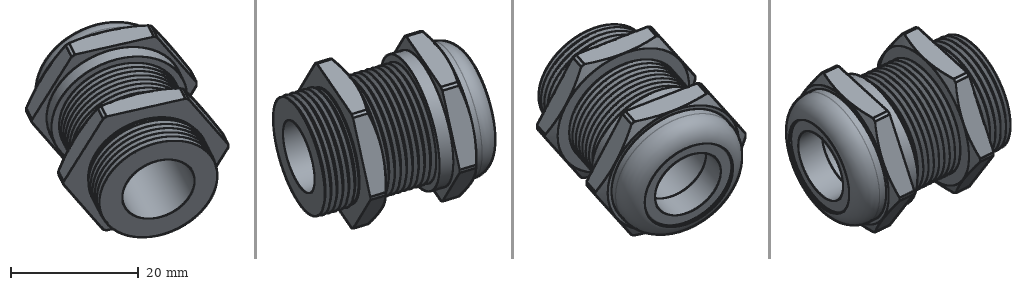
import cadquery as cq
import math


TOTAL_LENGTH = 29.97
DOME_LENGTH = 3.57
DOME_HEX_START = 4.83
DOME_HEX_WIDTH = 3.7
COLLAR_END = 10.88
MIDDLE_HEX_START = 20.35
MIDDLE_HEX_WIDTH = 3.55
MIDDLE_HEX_END = MIDDLE_HEX_START + MIDDLE_HEX_WIDTH

ACROSS_FLATS = 23.9
CORNER_RADIUS = 13.6
HEX_FACE_RADIUS = 11.9
DOME_HEX_CHAMFER = 0.85
MIDDLE_HEX_CHAMFER = 0.93

COLLAR_RADIUS = 11.2
MOUTH_RADIUS = 8.0
BORE_RADIUS = 5.95

SEAL_START = 0.3
SEAL_END = 4.9
SEAL_EDGE_ROUND = 0.25

LAST_MIDDLE_CREST = 20.1
PITCHES_TO_LAST_CREST = 9
THREAD_PITCH = (LAST_MIDDLE_CREST - COLLAR_END) / PITCHES_TO_LAST_CREST
MIDDLE_CREST_RADIUS = 9.95
END_CREST_RADIUS = 9.85
ROOT_RADIUS = 9.1

RELIEF_RADIUS = 9.55
RELIEF_LENGTH = 0.18


def revolved(profile):
    """Spin a closed profile, drawn as (x, radius), about the X axis."""
    return profile.close().revolve(360, (0, 0, 0), (1, 0, 0))


def cylinder(start, end, radius):
    """Solid cylinder about the X axis."""
    return cq.Workplane("YZ", origin=(start, 0, 0)).circle(radius).extrude(end - start)


def make_hex(start, width, chamfer_length):
    """Hexagon with flats facing +Z and -Z, chamfered on its -X side."""
    across_corners = ACROSS_FLATS / math.cos(math.pi / 6)
    prism = cq.Workplane("YZ", origin=(start, 0, 0)).polygon(6, across_corners).extrude(width)
    turned = revolved(
        cq.Workplane("XY")
        .moveTo(start, 0)
        .lineTo(start, HEX_FACE_RADIUS)
        .lineTo(start + chamfer_length, CORNER_RADIUS)
        .lineTo(start + width, CORNER_RADIUS)
        .lineTo(start + width, 0)
    )
    return prism.intersect(turned)


def make_thread(start, end, crest_radius):
    """Cylinder with V grooves one pitch apart, the last one cut short where the cylinder ends."""
    thread = cylinder(start, end, crest_radius)
    for ring in range(math.ceil((end - start) / THREAD_PITCH)):
        crest = start + ring * THREAD_PITCH
        groove = revolved(
            cq.Workplane("XY")
            .moveTo(crest, crest_radius)
            .lineTo(crest + THREAD_PITCH / 2, ROOT_RADIUS)
            .lineTo(crest + THREAD_PITCH, crest_radius)
            .lineTo(crest + THREAD_PITCH, CORNER_RADIUS)
            .lineTo(crest, CORNER_RADIUS)
        )
        thread = thread.cut(groove)
    return thread


def make_domed_collar():
    """Collar whose dome curves tangentially from the outside down to the rim of the mouth."""
    return revolved(
        cq.Workplane("XY")
        .moveTo(COLLAR_END, 0)
        .lineTo(COLLAR_END, COLLAR_RADIUS)
        .lineTo(DOME_LENGTH, COLLAR_RADIUS)
        .tangentArcPoint((0, MOUTH_RADIUS), relative=False)
        .lineTo(0, 0)
    )


def make_end_thread():
    """Thread at the plain end, turned down over a short relief beside the hexagon."""
    relief_end = MIDDLE_HEX_END + RELIEF_LENGTH
    relief_ring = cylinder(MIDDLE_HEX_END, relief_end, END_CREST_RADIUS).cut(
        cylinder(MIDDLE_HEX_END, relief_end, RELIEF_RADIUS)
    )
    return make_thread(MIDDLE_HEX_END, TOTAL_LENGTH, END_CREST_RADIUS).cut(relief_ring)


def make_housing():
    """Domed collar, two hexagons and two threads in one piece, with the bore and seal seat cut out."""
    outside = (
        make_domed_collar()
        .union(make_hex(DOME_HEX_START, DOME_HEX_WIDTH, DOME_HEX_CHAMFER))
        .union(make_thread(COLLAR_END, MIDDLE_HEX_START, MIDDLE_CREST_RADIUS))
        .union(make_hex(MIDDLE_HEX_START, MIDDLE_HEX_WIDTH, MIDDLE_HEX_CHAMFER))
        .union(make_end_thread())
    )
    seal_seat = cylinder(0, SEAL_END, MOUTH_RADIUS)
    bore = cylinder(0, TOTAL_LENGTH, BORE_RADIUS)
    return outside.cut(seal_seat).cut(bore)


def make_seal():
    """Ring that fills the seat, with its outer front edge rounded."""
    ring = cylinder(SEAL_START, SEAL_END, MOUTH_RADIUS).faces("<X").edges().fillet(SEAL_EDGE_ROUND)
    return ring.cut(cylinder(SEAL_START, SEAL_END, BORE_RADIUS))


housing = make_housing()
seal = make_seal()
result = cq.Compound.makeCompound([housing.solids().val(), seal.solids().val()])